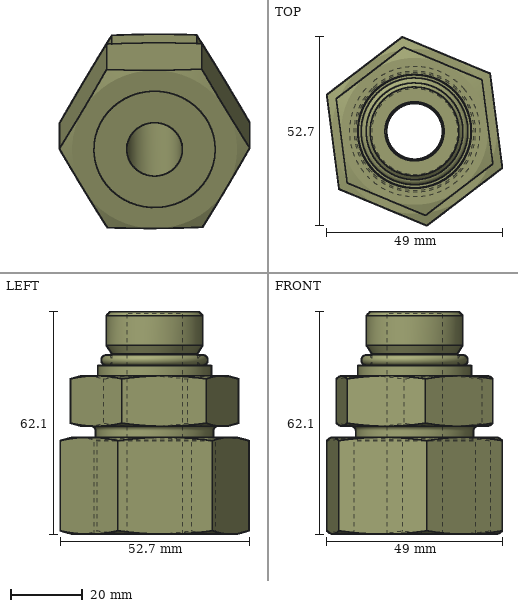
import cadquery as cq
import math


HEX_TURN = 7.4
HEX_CHAMFER_ANGLE = 15.0

NUT_FLATS = 46.0
NUT_HEIGHT = 27.0
NUT_MOUTH_DIAMETER = 36.4
NUT_MOUTH_ANGLE = 30.0

BODY_HEX_BOTTOM = 30.1
BODY_HEX_TOP = 44.15
COLLAR_TOP = 47.1
CONE_BOTTOM = 50.3
CONE_TOP = 52.7
TOTAL_HEIGHT = 62.1

BODY_HEX_FLATS = 41.0
STEM_DIAMETER = 33.85
NECK_DIAMETER = 33.0
NECK_FILLET = 1.25
COLLAR_DIAMETER = 31.8
COLLAR_CHAMFER = 0.155
GROOVE_DIAMETER = 24.0
THREAD_DIAMETER = 27.0
THREAD_CHAMFER = 1.1
BORE_DIAMETER = 15.5
BORE_CHAMFER = 0.5

RING_SECTION = 2.9


def cylinder(diameter, bottom, top):
    """Cylinder on the Z axis between two heights."""
    return cq.Workplane("XY").workplane(offset=bottom).circle(diameter / 2).extrude(top - bottom)


def cone(bottom_diameter, top_diameter, bottom, top):
    """Truncated cone on the Z axis between two heights."""
    return (
        cq.Workplane("XY")
        .workplane(offset=bottom)
        .circle(bottom_diameter / 2)
        .workplane(offset=top - bottom)
        .circle(top_diameter / 2)
        .loft(ruled=True)
    )


def chamfered_hexagon(flats, bottom, top):
    """Hexagonal prism whose corners are turned off conically at both ends."""
    corner_radius = flats / 2 / math.cos(math.pi / 6)
    corner_drop = (corner_radius - flats / 2) * math.tan(math.radians(HEX_CHAMFER_ANGLE))
    prism = (
        cq.Workplane("XY")
        .workplane(offset=bottom)
        .transformed(rotate=(0, 0, 90 + HEX_TURN))
        .polygon(6, 2 * corner_radius)
        .extrude(top - bottom)
    )
    envelope = (
        cq.Workplane("XZ")
        .moveTo(0, bottom)
        .lineTo(flats / 2, bottom)
        .lineTo(corner_radius, bottom + corner_drop)
        .lineTo(corner_radius, top - corner_drop)
        .lineTo(flats / 2, top)
        .lineTo(0, top)
        .close()
        .revolve(360, (0, 0, 0), (0, 1, 0))
    )
    return prism.intersect(envelope)


def stem():
    """Stem inside the nut with a filleted neck up to the body hexagon."""
    stem_radius = STEM_DIAMETER / 2
    neck_radius = NECK_DIAMETER / 2
    fillet_bottom = BODY_HEX_BOTTOM - NECK_FILLET
    fillet_dip = NECK_FILLET * (1 - math.sqrt(0.5))
    shoulder_sweep = math.acos(1 - (stem_radius - neck_radius) / NECK_FILLET)
    shoulder_middle = (
        neck_radius + NECK_FILLET * (1 - math.cos(shoulder_sweep / 2)),
        NUT_HEIGHT - NECK_FILLET * math.sin(shoulder_sweep / 2),
    )
    shoulder_height = NUT_HEIGHT - NECK_FILLET * math.sin(shoulder_sweep)
    return (
        cq.Workplane("XZ")
        .lineTo(stem_radius, 0)
        .lineTo(stem_radius, shoulder_height)
        .threePointArc(shoulder_middle, (neck_radius, NUT_HEIGHT))
        .lineTo(neck_radius, fillet_bottom)
        .threePointArc(
            (neck_radius + fillet_dip, BODY_HEX_BOTTOM - fillet_dip),
            (neck_radius + NECK_FILLET, BODY_HEX_BOTTOM),
        )
        .lineTo(0, BODY_HEX_BOTTOM)
        .close()
        .revolve(360, (0, 0, 0), (0, 1, 0))
    )


def stud_end():
    """Collar, O-ring groove with its cone, and the thread as a plain cylinder."""
    collar = cylinder(COLLAR_DIAMETER, BODY_HEX_TOP, COLLAR_TOP).faces(">Z").edges().chamfer(COLLAR_CHAMFER)
    groove = cylinder(GROOVE_DIAMETER, COLLAR_TOP, CONE_BOTTOM)
    flare = cone(GROOVE_DIAMETER, THREAD_DIAMETER, CONE_BOTTOM, CONE_TOP)
    thread = cylinder(THREAD_DIAMETER, CONE_TOP, TOTAL_HEIGHT).faces(">Z").edges().chamfer(THREAD_CHAMFER)
    return collar.union(groove).union(flare).union(thread)


def make_body():
    """Fitting body with a through bore that is chamfered at the thread end."""
    hexagon = chamfered_hexagon(BODY_HEX_FLATS, BODY_HEX_BOTTOM, BODY_HEX_TOP)
    outside = stem().union(hexagon).union(stud_end())
    bored = outside.cut(cylinder(BORE_DIAMETER, 0, TOTAL_HEIGHT))
    return bored.faces(">Z").edges(cq.selectors.RadiusNthSelector(0)).chamfer(BORE_CHAMFER)


def make_nut():
    """Hexagonal union nut bored to fit the stem, with a countersunk mouth at the top of the bore."""
    mouth_depth = (NUT_MOUTH_DIAMETER - STEM_DIAMETER) / 2 * math.tan(math.radians(NUT_MOUTH_ANGLE))
    bore = cylinder(STEM_DIAMETER, 0, NUT_HEIGHT)
    mouth = cone(STEM_DIAMETER, NUT_MOUTH_DIAMETER, NUT_HEIGHT - mouth_depth, NUT_HEIGHT)
    return chamfered_hexagon(NUT_FLATS, 0, NUT_HEIGHT).cut(bore).cut(mouth)


def make_o_ring():
    """O-ring seated in the groove, resting on the collar."""
    centre_radius = (GROOVE_DIAMETER + RING_SECTION) / 2
    centre_height = COLLAR_TOP + RING_SECTION / 2
    return (
        cq.Workplane("XZ")
        .center(centre_radius, centre_height)
        .circle(RING_SECTION / 2)
        .revolve(360, (-centre_radius, 0, 0), (-centre_radius, 1, 0))
    )


body = make_body()
nut = make_nut()
o_ring = make_o_ring()

result = cq.Compound.makeCompound([body.solids().val(), nut.solids().val(), o_ring.val()])